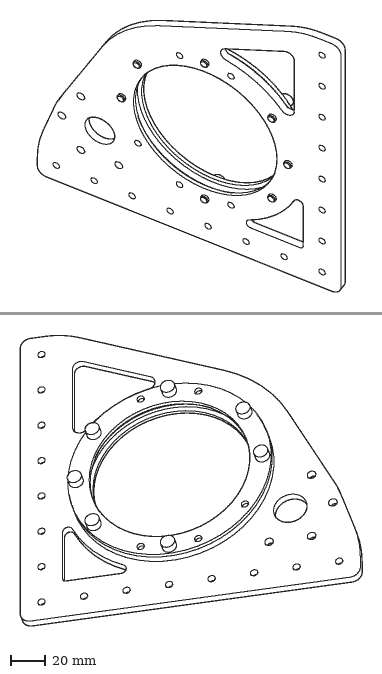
import cadquery as cq
import math

SIDE = 203.2
PITCH = 25.5
EDGE = PITCH / 2
PLATE_T = 5.0
CORNER_R = 6.3

RING_X = 112.4
RING_Z = 90.5
OPENING_D = 96.0
LIP_T = 2.5
RING_D = 121.5
RECESS_D = 101.5
SPACER_T = 4.5
CLAMP_T = 2.6
BOLT_CIRCLE_R = 55.7
BOLT_STEPS = 10

SMALL_HOLE_D = 4.3
SCREW_D = 5.0
SCREW_TIP_D = 4.0
SCREW_TIP_CHAMFER = (SCREW_D - SCREW_TIP_D) / 2
HEAD_D = 8.5
HEAD_H = 5.0
SCREW_PROTRUSION = 1.8

PORT_X = 41.9
PORT_Z = 55.5
PORT_D = 20.0
PORT_HOLE_D = 5.0
PORT_HOLE_R = PITCH
PORT_HOLE_ANGLES = (120, 180, 240, 300)

SHOULDER_R = 77.2
BLEND_R = 50.8
TOP_CENTER_X = 188.2
SIDE_CENTER_X = 60.1
SIDE_CENTER_Z = 45.7
LEFT_R = 76.2
LEFT_CENTER_Z = 13.0

WINDOW_ARC_R = 66.0
UPPER_RIGHT_X = 172.0
UPPER_RIM = 15.2
UPPER_FILLET = 4.7
LOWER_MARGIN = PITCH
LOWER_TIP_FILLET = 3.0
LOWER_CORNER_FILLET = 2.0

SPACER_Y = PLATE_T
CLAMP_Y = SPACER_Y + SPACER_T
HEAD_Y = CLAMP_Y + CLAMP_T

BOLT_ANGLES = [i * 360 / BOLT_STEPS for i in range(BOLT_STEPS)]
SCREW_ANGLES = (0, 36, 90, 144, 180, 270, 324)
OPEN_ANGLES = [a for a in BOLT_ANGLES if a not in SCREW_ANGLES]


def polar(center, radius, degrees):
    angle = math.radians(degrees)
    return (center[0] + radius * math.cos(angle), center[1] + radius * math.sin(angle))


def cylinders(points, diameter, start, length):
    """Cylinders along +Y at (x, z) points, from Y = start."""
    return (cq.Workplane("XZ").workplane(offset=-start)
            .pushPoints(points).circle(diameter / 2).extrude(-length))


def tangent_angle(first, second):
    """Direction, from both centres, of the tangent points of a line with the circles on its right.

    Each circle is (centre, radius); the line runs from the first to the second.
    """
    (x1, z1), r1 = first
    (x2, z2), r2 = second
    heading = math.atan2(z2 - z1, x2 - x1)
    spread = math.acos((r1 - r2) / math.hypot(x2 - x1, z2 - z1))
    return math.degrees(heading + spread)


RING_CENTER = (RING_X, RING_Z)
PORT_CENTER = (PORT_X, PORT_Z)
SCREW_POINTS = [polar(RING_CENTER, BOLT_CIRCLE_R, a) for a in SCREW_ANGLES]
OPEN_POINTS = [polar(RING_CENTER, BOLT_CIRCLE_R, a) for a in OPEN_ANGLES]

RIM_CIRCLES = [
    ((LEFT_R, LEFT_CENTER_Z), LEFT_R),
    ((SIDE_CENTER_X, SIDE_CENTER_Z), BLEND_R),
    (RING_CENTER, SHOULDER_R),
    ((TOP_CENTER_X, SIDE - BLEND_R), BLEND_R),
]
RIM_ANGLES = [
    180.0,
    *[tangent_angle(a, b) for a, b in zip(RIM_CIRCLES, RIM_CIRCLES[1:])],
    90.0,
]
SLOPE_NORMAL = RIM_ANGLES[-2]


def plate_blank():
    """Plate outline without openings, with its three square corners rounded."""
    outline = cq.Workplane("XZ").moveTo(0, 0)
    for (center, radius), start, end in zip(RIM_CIRCLES, RIM_ANGLES, RIM_ANGLES[1:]):
        middle = (start + end) / 2
        outline = outline.lineTo(*polar(center, radius, start))
        outline = outline.threePointArc(polar(center, radius, middle), polar(center, radius, end))
    blank = outline.lineTo(SIDE, SIDE).lineTo(SIDE, 0).close().extrude(-PLATE_T)
    for x, z in ((0, 0), (SIDE, 0), (SIDE, SIDE)):
        corner = cq.selectors.NearestToPointSelector((x, PLATE_T / 2, z))
        blank = blank.edges("|Y").edges(corner).fillet(CORNER_R)
    return blank


def upper_window():
    """Window between the sloping edge, a vertical side and an arc around the main opening."""
    line_distance = SHOULDER_R - UPPER_RIM
    half_spread = math.degrees(math.acos(line_distance / WINDOW_ARC_R))
    left_angle = SLOPE_NORMAL - half_spread
    left = polar(RING_CENTER, WINDOW_ARC_R, left_angle)
    slope = math.tan(math.radians(SLOPE_NORMAL - 90))
    bottom_angle = math.degrees(math.acos((UPPER_RIGHT_X - RING_X) / WINDOW_ARC_R))
    middle = polar(RING_CENTER, WINDOW_ARC_R, (left_angle + bottom_angle) / 2)
    return (cq.Workplane("XZ").moveTo(*left)
            .lineTo(UPPER_RIGHT_X, left[1] + slope * (UPPER_RIGHT_X - left[0]))
            .lineTo(*polar(RING_CENTER, WINDOW_ARC_R, bottom_angle))
            .threePointArc(middle, left).close()
            .extrude(-PLATE_T).edges("|Y").fillet(UPPER_FILLET))


def lower_window():
    """Window between the bottom and right edges and an arc around the main opening."""
    right = SIDE - LOWER_MARGIN
    bottom = LOWER_MARGIN
    right_angle = -math.degrees(math.acos((right - RING_X) / WINDOW_ARC_R))
    bottom_angle = -math.degrees(math.asin((RING_Z - bottom) / WINDOW_ARC_R))
    middle = polar(RING_CENTER, WINDOW_ARC_R, (right_angle + bottom_angle) / 2)
    return (cq.Workplane("XZ").moveTo(right, bottom)
            .lineTo(*polar(RING_CENTER, WINDOW_ARC_R, right_angle))
            .threePointArc(middle, polar(RING_CENTER, WINDOW_ARC_R, bottom_angle)).close()
            .extrude(-PLATE_T)
            .edges("|Y").edges(">(1, 0, -1)").fillet(LOWER_CORNER_FILLET)
            .edges("|Y").edges("<X or >Z").fillet(LOWER_TIP_FILLET))


def make_plate():
    """Plate with its windows, stepped main opening and holes."""
    count = round(SIDE / PITCH)
    far = SIDE - EDGE
    edge_points = [(EDGE + i * PITCH, EDGE) for i in range(count)]
    edge_points += [(far, EDGE + i * PITCH) for i in range(1, count)]
    port_points = [polar(PORT_CENTER, PORT_HOLE_R, a) for a in PORT_HOLE_ANGLES]
    return (plate_blank()
            .cut(upper_window())
            .cut(lower_window())
            .cut(cylinders([RING_CENTER], OPENING_D, 0, PLATE_T))
            .cut(cylinders([RING_CENTER], RECESS_D, LIP_T, PLATE_T - LIP_T))
            .cut(cylinders([PORT_CENTER], PORT_D, 0, PLATE_T))
            .cut(cylinders(port_points, PORT_HOLE_D, 0, PLATE_T))
            .cut(cylinders(edge_points, SMALL_HOLE_D, 0, PLATE_T))
            .cut(cylinders(OPEN_POINTS, SMALL_HOLE_D, 0, PLATE_T))
            .cut(cylinders(SCREW_POINTS, SCREW_D, 0, PLATE_T)))


def make_ring(bore, start, thickness):
    """Flat ring behind the plate, drilled on the bolt circle."""
    return (cylinders([RING_CENTER], RING_D, start, thickness)
            .cut(cylinders([RING_CENTER], bore, start, thickness))
            .cut(cylinders(OPEN_POINTS, SMALL_HOLE_D, start, thickness))
            .cut(cylinders(SCREW_POINTS, SCREW_D, start, thickness)))


def make_screw(point):
    """Screw with its head behind the clamp ring and its chamfered tip in front of the plate."""
    shank = cylinders([point], SCREW_D, -SCREW_PROTRUSION, HEAD_Y + SCREW_PROTRUSION)
    shank = shank.faces("<Y").chamfer(SCREW_TIP_CHAMFER)
    return shank.union(cylinders([point], HEAD_D, HEAD_Y, HEAD_H))


plate = make_plate()
spacer_ring = make_ring(RECESS_D, SPACER_Y, SPACER_T)
clamp_ring = make_ring(OPENING_D, CLAMP_Y, CLAMP_T)
screws = [make_screw(point) for point in SCREW_POINTS]

result = cq.Compound.makeCompound(
    [plate.val(), spacer_ring.val(), clamp_ring.val()] + [screw.val() for screw in screws])